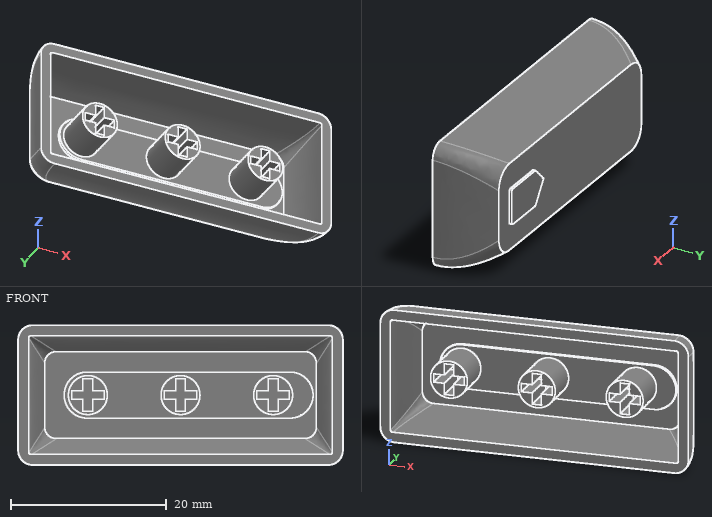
import cadquery as cq


LENGTH = 41.8
WIDTH = 18.0
SHELL_HEIGHT = 8.3
OUTER_TAPER = 2.68
OUTER_RIM_RADIUS = 1.92
OUTER_ROOF_RADIUS = 2.7

WALL = 1.4
CAVITY_DEPTH = 6.8
CAVITY_TAPER = 2.05
CAVITY_RIM_RADIUS = 0.3
CAVITY_CEILING_RADIUS = 1.45

STEM_DIAMETER = 5.0
STEM_PITCH = 11.9
STEM_COUNT = 3
STEM_RECESS = 1.0
CROSS_SPAN = 4.2
CROSS_UPRIGHT_WIDTH = 1.25
CROSS_LEVEL_WIDTH = 1.13

PLATE_LENGTH = 32.03
PLATE_WIDTH = 5.95
PLATE_CENTER_X = 1.05
PLATE_THICKNESS = 0.4

EMBLEM_RAISE = 0.35
EMBLEM_LEFT = 7.35
EMBLEM_RIGHT = 15.55
EMBLEM_HEIGHT = 5.2
EMBLEM_SHOULDER = 2.1
EMBLEM_TIP_Z = 0.45
EMBLEM_CORNER_RADIUS = 0.35

LOFT_STEPS = 4


CAVITY_LENGTH = LENGTH - 2 * WALL
CAVITY_WIDTH = WIDTH - 2 * WALL
PLATE_FACE = CAVITY_DEPTH - PLATE_THICKNESS


def at_height(y):
    """Workplane y above the rim, with local axes +X and +Z; its normal points along -Y."""
    return cq.Workplane("XZ", origin=(0, y, 0))


def domed_block(length, width, height, taper, rim_radius, far_radius):
    """Rounded block whose sides start square to the rim and lean in along a parabola."""
    sections = []
    for step in range(LOFT_STEPS + 1):
        share = step / LOFT_STEPS
        lean = share**2
        inset = taper * lean
        radius = rim_radius + (far_radius - rim_radius) * lean
        outline = cq.Sketch().rect(length - 2 * inset, width - 2 * inset).vertices().fillet(radius)
        sections.append(outline.moved(cq.Location(cq.Vector(0, 0, -share * height))))
    return at_height(0).placeSketch(*sections).loft()


def make_plate():
    """Stadium-shaped plate under the roof."""
    return (
        at_height(CAVITY_DEPTH)
        .center(PLATE_CENTER_X, 0)
        .slot2D(PLATE_LENGTH, PLATE_WIDTH)
        .extrude(PLATE_THICKNESS)
    )


def make_emblem():
    """Block with a pointed left end, from the plate to just above the roof."""
    half_height = EMBLEM_HEIGHT / 2
    shoulder_x = EMBLEM_LEFT + EMBLEM_SHOULDER
    outline = [
        (EMBLEM_LEFT, EMBLEM_TIP_Z),
        (shoulder_x, half_height),
        (EMBLEM_RIGHT, half_height),
        (EMBLEM_RIGHT, -half_height),
        (shoulder_x, -half_height),
    ]
    top = SHELL_HEIGHT + EMBLEM_RAISE
    block = at_height(top).polyline(outline).close().extrude(top - CAVITY_DEPTH)
    return block.edges("|Y and >X").fillet(EMBLEM_CORNER_RADIUS)


def make_stem(x):
    """Round post hanging from the plate toward the rim, with its cross socket cut to the plate."""
    length = PLATE_FACE - STEM_RECESS
    base = at_height(PLATE_FACE).center(x, 0)
    post = base.circle(STEM_DIAMETER / 2).extrude(length)
    upright = base.rect(CROSS_UPRIGHT_WIDTH, CROSS_SPAN).extrude(length)
    level = base.rect(CROSS_SPAN, CROSS_LEVEL_WIDTH).extrude(length)
    return post.cut(upright).cut(level)


def make_shell(emblem):
    """Hollow cap with an opening in its roof for the emblem."""
    outside = domed_block(LENGTH, WIDTH, SHELL_HEIGHT, OUTER_TAPER, OUTER_RIM_RADIUS, OUTER_ROOF_RADIUS)
    cavity = domed_block(
        CAVITY_LENGTH, CAVITY_WIDTH, CAVITY_DEPTH, CAVITY_TAPER, CAVITY_RIM_RADIUS, CAVITY_CEILING_RADIUS
    )
    return outside.cut(cavity).cut(emblem)


def make_stem_insert(plate, emblem):
    """Plate, emblem and evenly spaced stems as one piece."""
    insert = plate.union(emblem)
    for index in range(STEM_COUNT):
        x = (index - (STEM_COUNT - 1) / 2) * STEM_PITCH
        insert = insert.union(make_stem(x))
    return insert


plate = make_plate()
emblem = make_emblem()
shell = make_shell(emblem)
stem_insert = make_stem_insert(plate, emblem)

result = cq.Compound.makeCompound([shell.val(), stem_insert.val()])